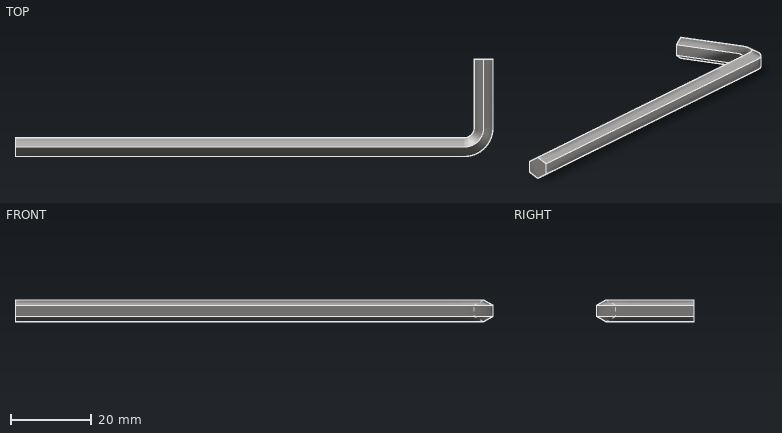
import cadquery as cq
import math

side_count = 6
corner_width = 5.48
flat_width = corner_width * math.cos(math.pi / side_count)

long_arm_length = 119.38
short_arm_length = 24.38

inner_bend_radius = 2.5
bend_radius = inner_bend_radius + flat_width / 2


def make_centre_line():
    """Centre line from the long arm's free end, along +X, then bent to +Y."""
    short_arm_x = long_arm_length - flat_width / 2
    short_arm_end_y = short_arm_length - flat_width / 2
    bend_start_x = short_arm_x - bend_radius
    return (
        cq.Workplane("XY")
        .lineTo(bend_start_x, 0)
        .tangentArcPoint((short_arm_x, bend_radius), relative=False)
        .lineTo(short_arm_x, short_arm_end_y)
    )


def make_hexagon():
    """Bar section at the long arm's free end, turned so two flats face +Y and -Y."""
    quarter_turn = (0, 0, 90)
    return cq.Workplane("YZ").transformed(rotate=quarter_turn).polygon(side_count, corner_width)


result = make_hexagon().sweep(make_centre_line())